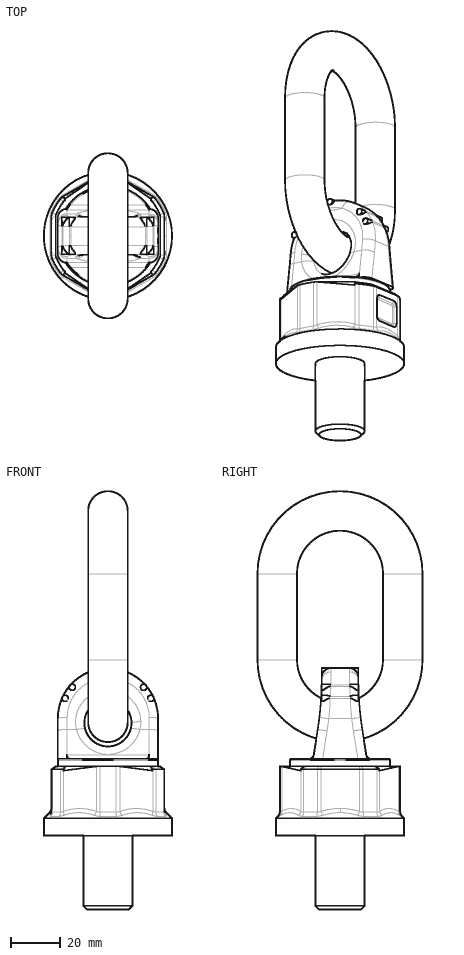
import cadquery as cq
import math

total_height = 169.5

shank_radius = 10.0
shank_chamfer = 1.5
flange_bottom = 30.0
flange_top = 37.0
flange_diameter = 52.0
flange_radius = flange_diameter / 2
nut_top = 58.0
nut_apothem = 22.9
nut_corner_radius = 24.4
nut_edge_fillet = 4.2
nut_foot_fillet = 2.4
nut_chamfer_width = 1.2
nut_chamfer_height = 1.7
nut_sides = 6
hexagon_half_step = 180 / nut_sides
slanted_flats = ((60, True), (120, False), (240, True), (300, False))
cone_top_radius = 20.3
cone_top = flange_top + flange_radius - cone_top_radius
seam_margin = 0.3

pocket_width = 14.0
pocket_height = 11.0
pocket_middle = 48.5
pocket_depth = 1.0
pocket_taper = 50.0
pocket_corner = 2.0
pocket_floor_fillet = 1.2

disc_radius = 20.3
disc_top = 61.0
disc_edge_fillet = 0.5
lug_radius = 20.3
lug_arc_middle = 77.5
lug_top_half_thickness = 7.5
lug_bend_radius = 127.1
lug_bend_bottom = 73.0
lug_draft = 9.0
lug_foot_fillet = 2.0
lug_rim_fillet = 3.7
hole_middle = 75.6
hole_radius = 9.5
hole_fillet = 3.7

bar_radius = 1.27
bar_ring_radius = 19.2
bar_angles = (25.0, 41.0, 90.0, 139.0, 155.0)

link_width = 67.0
link_height = 101.7
wire_diameter = 16.1
wire_radius = wire_diameter / 2
link_middle = total_height - link_height / 2


def make_shank():
    shank = cq.Workplane("XY").circle(shank_radius).extrude(flange_bottom)
    return shank.faces("<Z").chamfer(shank_chamfer)


def make_flange():
    """Round flange whose top falls away from the nut as a 45 degree cone."""
    return (
        cq.Workplane("XZ")
        .moveTo(0, flange_bottom)
        .lineTo(flange_radius, flange_bottom)
        .lineTo(flange_radius, flange_top)
        .lineTo(cone_top_radius, cone_top)
        .lineTo(0, cone_top)
        .close()
        .revolve(360, (0, 0, 0), (0, 1, 0))
    )


def make_nut():
    """Hexagon with flats at +-X and its six corners turned round."""
    height = nut_top - flange_bottom
    across_corners = 2 * nut_apothem / math.cos(math.radians(hexagon_half_step))
    base = cq.Workplane("XY").workplane(offset=flange_bottom)
    hexagon = base.polygon(nut_sides, across_corners).extrude(height)
    hexagon = hexagon.rotate((0, 0, 0), (0, 0, 1), hexagon_half_step)
    nut = hexagon.intersect(base.circle(nut_corner_radius).extrude(height))
    return nut.edges("|Z").fillet(nut_edge_fillet)


def cut_pocket(body):
    """Rounded rectangular recess with sloping walls in the -X flat."""
    mouth = cq.Sketch().rect(pocket_width, pocket_height).vertices().fillet(pocket_corner)
    tool = (
        cq.Workplane("YZ", origin=(-nut_apothem, 0, pocket_middle))
        .placeSketch(mouth)
        .extrude(pocket_depth, taper=pocket_taper)
    )
    tool = tool.faces(">X").edges().fillet(pocket_floor_fillet)
    return body.cut(tool)


def flat_half_length():
    """Half the length of a nut flat between the fillets of its two upright edges."""
    inner_radius = nut_corner_radius - nut_edge_fillet
    inner_apothem = nut_apothem - nut_edge_fillet
    return math.sqrt(inner_radius**2 - inner_apothem**2)


def chamfer_sides(nut):
    """Chamfer the top of the +-X flats and of the corners beside them, up to the slanted flats."""
    chamfered = nut.faces(">Z").chamfer(nut_chamfer_height, nut_chamfer_width)
    apex = flat_half_length() / math.cos(math.radians(hexagon_half_step))
    spread = flange_radius * math.tan(math.radians(2 * hexagon_half_step))
    for side in (-1, 1):
        sector = (
            cq.Workplane("XY", origin=(side * apex, 0, flange_bottom))
            .polyline([(0, 0), (side * flange_radius, -spread), (side * flange_radius, spread)])
            .close()
            .extrude(nut_top - flange_bottom)
        )
        nut = nut.cut(sector).union(chamfered.intersect(sector))
    return nut


def solid_from_corners(corners):
    """Tetrahedron through four points."""
    faces = []
    for skipped in range(len(corners)):
        triangle = [cq.Vector(*c) for n, c in enumerate(corners) if n != skipped]
        faces.append(cq.Face.makeFromWires(cq.Wire.makePolygon(triangle, close=True)))
    return cq.Solid.makeSolid(cq.Shell.makeShell(faces))


def fade_slanted_flats(body):
    """Chamfer on each slanted flat, fading out towards the +-Y corners."""
    low = nut_top - nut_chamfer_height
    deep, thin = flat_half_length(), -flat_half_length()
    wedge = solid_from_corners([
        (nut_apothem, thin, nut_top),
        (nut_apothem, deep, nut_top),
        (nut_apothem, deep, low),
        (nut_apothem - nut_chamfer_width, deep, nut_top),
    ])
    for angle, mirrored in slanted_flats:
        turned = cq.Workplane(wedge)
        if mirrored:
            turned = turned.mirror("XZ")
        body = body.cut(turned.rotate((0, 0, 0), (0, 0, 1), angle))
    return body


def make_base():
    """Nut, flange and shank in one piece."""
    nut = fade_slanted_flats(chamfer_sides(make_nut()))
    base = nut.union(make_flange())
    foot_zone = cq.selectors.BoxSelector(
        (-flange_radius, -flange_radius, flange_top + seam_margin), (flange_radius, flange_radius, cone_top)
    )
    base = base.edges(foot_zone).edges("not |Z").fillet(nut_foot_fillet)
    base = cut_pocket(base)
    return base.union(make_shank())


def lug_bend_y():
    """Half thickness of the lug where the drafted face meets the bend."""
    return lug_top_half_thickness + lug_bend_radius * (1 - math.cos(math.radians(lug_draft)))


def lug_foot_y():
    """Half thickness of the lug at the disc top."""
    return lug_bend_y() + (lug_bend_bottom - disc_top) * math.tan(math.radians(lug_draft))


def make_lug_half():
    """The +Y half of the lug: drafted face, tangent bend and upright face, square at the ends."""
    draft = math.radians(lug_draft)
    bend_top = lug_bend_bottom + lug_bend_radius * math.sin(draft)
    mid_y = lug_top_half_thickness + lug_bend_radius * (1 - math.cos(draft / 2))
    mid_z = bend_top - lug_bend_radius * math.sin(draft / 2)
    lug_top = lug_arc_middle + lug_radius
    return (
        cq.Workplane("YZ")
        .moveTo(0, disc_top)
        .lineTo(lug_foot_y(), disc_top)
        .lineTo(lug_bend_y(), lug_bend_bottom)
        .threePointArc((mid_y, mid_z), (lug_top_half_thickness, bend_top))
        .lineTo(lug_top_half_thickness, lug_top)
        .lineTo(0, lug_top)
        .close()
        .extrude(lug_radius, both=True)
    )


def make_lug():
    """Lug with an arched top and tapering thickness, still with sharp edges."""
    arch = (
        cq.Workplane("XZ")
        .moveTo(-lug_radius, disc_top)
        .lineTo(lug_radius, disc_top)
        .lineTo(lug_radius, lug_arc_middle)
        .threePointArc((0, lug_arc_middle + lug_radius), (-lug_radius, lug_arc_middle))
        .close()
        .extrude(disc_radius, both=True)
    )
    half = make_lug_half()
    return arch.intersect(half.union(half.mirror("XZ")))



def make_foot():
    """Concave fillet between the lug's two drafted faces and the disc top."""
    draft = math.radians(lug_draft)
    foot_y = lug_foot_y()
    half_turn = math.radians(90 - lug_draft) / 2
    setback = lug_foot_fillet * math.tan(half_turn)
    start_y = foot_y + setback
    end_y = foot_y - setback * math.sin(draft)
    end_z = disc_top + setback * math.cos(draft)
    mid_y = start_y - lug_foot_fillet * math.sin(half_turn)
    mid_z = disc_top + lug_foot_fillet * (1 - math.cos(half_turn))
    half = (
        cq.Workplane("YZ")
        .moveTo(0, disc_top)
        .lineTo(start_y, disc_top)
        .threePointArc((mid_y, mid_z), (end_y, end_z))
        .lineTo(0, end_z)
        .close()
        .extrude(lug_radius, both=True)
    )
    disc_column = cq.Workplane("XY", origin=(0, 0, disc_top)).circle(disc_radius - disc_edge_fillet)
    foot = half.union(half.mirror("XZ"))
    return foot.intersect(disc_column.extrude(lug_foot_fillet))


def make_bars():
    """Round bars lying across the rim, flush with the lug's upright faces."""
    places = [
        (bar_ring_radius * math.cos(math.radians(angle)),
         lug_arc_middle + bar_ring_radius * math.sin(math.radians(angle)))
        for angle in bar_angles
    ]
    return (
        cq.Workplane("XZ").pushPoints(places).circle(bar_radius).extrude(lug_top_half_thickness, both=True)
    )


def make_eye():
    """Disc and lug in one piece, with the round hole for the link."""
    disc = (
        cq.Workplane("XY", origin=(0, 0, nut_top))
        .circle(disc_radius)
        .extrude(disc_top - nut_top)
        .faces(">Z")
        .fillet(disc_edge_fillet)
    )
    lug = make_lug().edges("not(|X or |Y)").fillet(lug_rim_fillet)
    hole = (
        cq.Workplane("XZ", origin=(0, 0, hole_middle))
        .circle(hole_radius)
        .extrude(disc_radius, both=True)
    )
    lug = lug.cut(hole)
    mouth_zone = cq.selectors.BoxSelector(
        (-hole_radius, -disc_radius, hole_middle - hole_radius),
        (hole_radius, disc_radius, hole_middle + hole_radius),
    )
    lug = lug.edges(mouth_zone).edges("not(|X or |Y)").fillet(hole_fillet)
    return disc.union(lug).union(make_foot()).union(make_bars())


def make_link():
    """Round wire bent into an oval that passes through the lug's hole."""
    bend = (link_width - wire_diameter) / 2
    half_straight = (link_height - link_width) / 2
    path = (
        cq.Workplane("YZ", origin=(0, 0, link_middle))
        .moveTo(bend, -half_straight)
        .lineTo(bend, half_straight)
        .threePointArc((0, half_straight + bend), (-bend, half_straight))
        .lineTo(-bend, -half_straight)
        .threePointArc((0, -half_straight - bend), (bend, -half_straight))
        .close()
    )
    start = (0, bend, link_middle - half_straight)
    return cq.Workplane("XY", origin=start).circle(wire_radius).sweep(path)


base = make_base()
eye = make_eye()
link = make_link()
result = cq.Compound.makeCompound([base.val(), eye.val(), link.val()])